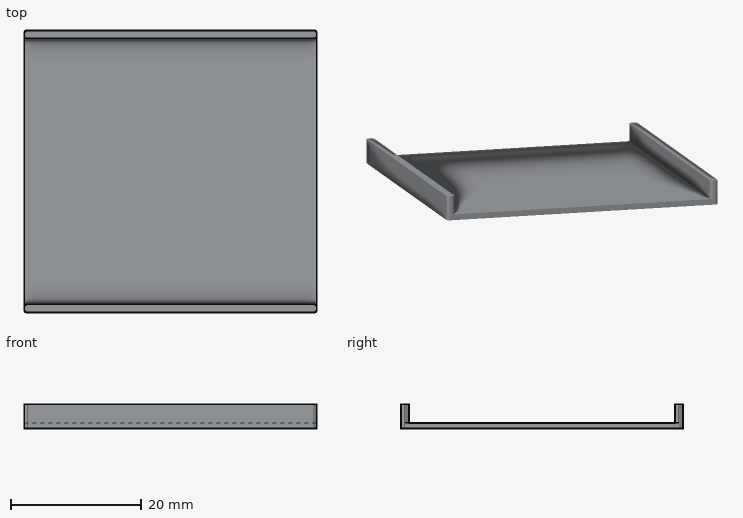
import cadquery as cq

length = 45.0
width = 43.4
height = 3.8
floor_thickness = 0.9
wall_thickness = 1.25
corner_radius = 0.5

block = cq.Workplane("XY").box(length, width, height, centered=(True, True, False))

channel = (
    cq.Workplane("XY")
    .workplane(offset=floor_thickness)
    .box(length, width - 2 * wall_thickness, height, centered=(True, True, False))
)

result = block.cut(channel).edges("|Z").fillet(corner_radius)